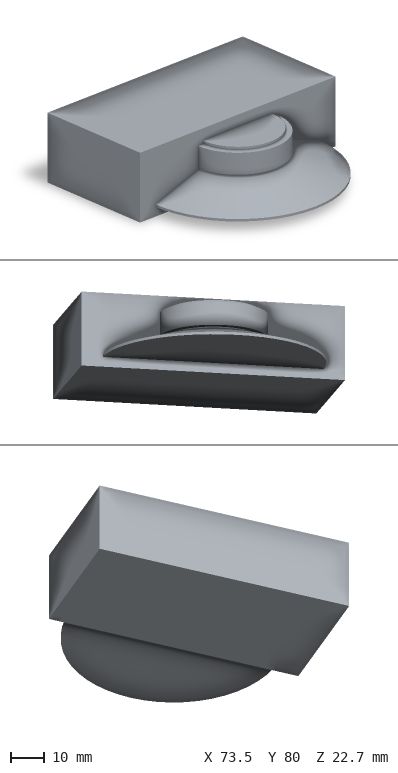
import cadquery as cq

housing_depth = 40.0
housing_length = 80.0
housing_height = 22.7

skirt_diameter = 67.0
band_diameter = 32.5
core_diameter = 28.3
axis_x = housing_depth

skirt_bottom = 3.0
rim_height = 0.8
skirt_height = 6.6
core_height = 9.0
band_clearance = 0.9
band_height = 7.1
core_bottom = skirt_bottom + skirt_height
band_bottom = core_bottom + band_clearance


def make_cylinder(diameter, bottom, height):
    """Upright cylinder on the common axis."""
    return cq.Workplane("XY", origin=(axis_x, 0, bottom)).circle(diameter / 2).extrude(height)


def make_skirt():
    """Cone with a thin upright rim, narrowing to the band diameter at its flat top."""
    profile = (
        cq.Workplane("XZ", origin=(axis_x, 0, skirt_bottom))
        .lineTo(skirt_diameter / 2, 0)
        .lineTo(skirt_diameter / 2, rim_height)
        .lineTo(band_diameter / 2, skirt_height)
        .lineTo(0, skirt_height)
        .close()
    )
    return profile.revolve(360, (0, 0), (0, 1))


def make_core():
    """Cylinder standing on the skirt and passing through the band."""
    return make_cylinder(core_diameter, core_bottom, core_height)


def make_band():
    """Ring fitted around the core."""
    outer = make_cylinder(band_diameter, band_bottom, band_height)
    bore = make_cylinder(core_diameter, band_bottom, band_height)
    return outer.cut(bore)


def make_housing(contents):
    """Block with a recess in its +X face that matches the parts it holds."""
    block = cq.Workplane("XY").box(
        housing_depth, housing_length, housing_height, centered=(False, True, False)
    )
    for body in contents:
        block = block.cut(body)
    return block


skirt = make_skirt()
core = make_core()
band = make_band()
housing = make_housing([skirt, core, band])

result = cq.Compound.makeCompound([housing.val(), skirt.val(), core.val(), band.val()])